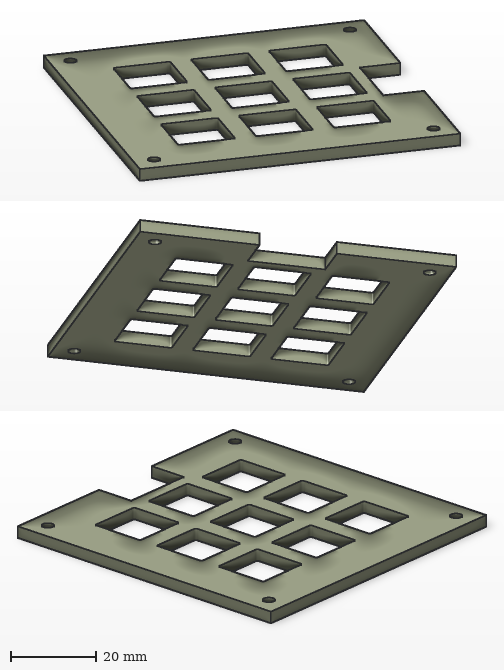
import cadquery as cq

width = 77.0
length = 78.5
thickness = 3.0

window_side = 14.0
window_pitch = 19.1
window_corner_radius = 0.5
window_count = 3

hole_diameter = 2.9
hole_inset = 5.0

notch_width = 18.85
notch_depth = 10.0


def make_plate():
    return cq.Workplane("XY").box(width, length, thickness)


def make_windows():
    return (
        cq.Workplane("XY")
        .rarray(window_pitch, window_pitch, window_count, window_count)
        .rect(window_side, window_side)
        .extrude(thickness, both=True)
        .edges("|Z")
        .fillet(window_corner_radius)
    )


def make_mounting_holes():
    return (
        cq.Workplane("XY")
        .rect(width - 2 * hole_inset, length - 2 * hole_inset, forConstruction=True)
        .vertices()
        .circle(hole_diameter / 2)
        .extrude(thickness, both=True)
    )


def make_notch():
    return (
        cq.Workplane("XY")
        .center(0, length / 2)
        .rect(notch_width, 2 * notch_depth)
        .extrude(thickness, both=True)
    )


result = make_plate().cut(make_windows()).cut(make_mounting_holes()).cut(make_notch())